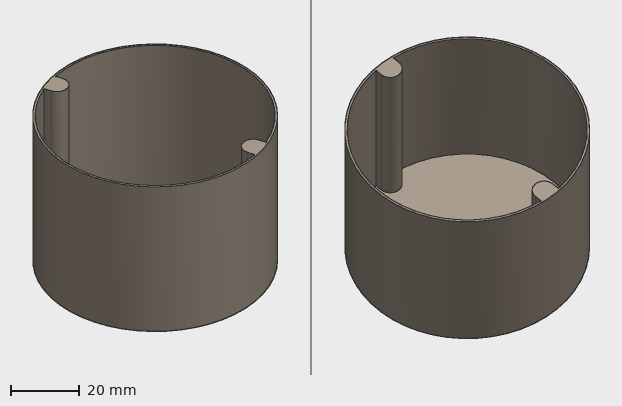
import cadquery as cq

outer_diameter = 71.5
height = 52.0
wall = 0.7
floor_thickness = wall
post_width = 7.0
post_reach = 6.7

outer_radius = outer_diameter / 2
inner_radius = outer_radius - wall
post_radius = post_width / 2
post_center = outer_radius - post_reach + post_radius


def make_cup():
    """Thin-walled round cup, open at the top."""
    body = cq.Workplane("XY").circle(outer_radius).extrude(height)
    cavity = (
        cq.Workplane("XY")
        .workplane(offset=floor_thickness)
        .circle(inner_radius)
        .extrude(height)
    )
    return body.cut(cavity)


def make_post(side):
    """Round-nosed post on the wall; side is +1 for +X and -1 for -X."""
    nose = cq.Workplane("XY").center(side * post_center, 0).circle(post_radius).extrude(height)
    root_length = outer_radius - post_center
    root = (
        cq.Workplane("XY")
        .center(side * (post_center + root_length / 2), 0)
        .rect(root_length, post_width)
        .extrude(height)
    )
    envelope = cq.Workplane("XY").circle(outer_radius).extrude(height)
    return nose.union(root).intersect(envelope)


result = make_cup()
for side in (-1, 1):
    result = result.union(make_post(side))